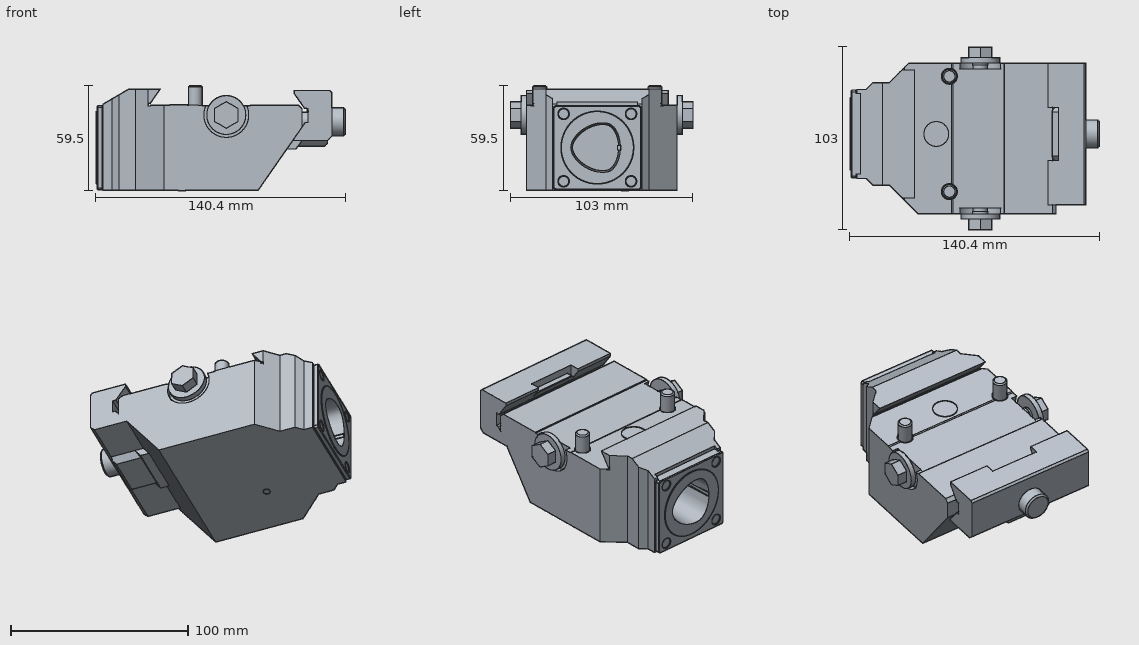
import cadquery as cq
import math


body_front = 3.8
body_back = 116.0
side_left = 40.0
side_right = -45.0
side_middle = (side_left + side_right) / 2
deck_height = 48.1
nose_height = 48.6
lip_height = 57.1
lip_start = 18.3
lip_tip = 36.1
lip_root = 30.5
lip_root_height = 49.0
lip_half_width = 36.2
relief_front = 29.4
relief_depth = 0.5
back_chamfer = 2.0
incline_top = 35.6
incline_foot = 91.3
incline_run = (body_back - incline_foot) / incline_top

nose_half_width = 25.2
shoulder_half_width = 29.0
nose_step_start = 9.0
shoulder_start = nose_step_start + shoulder_half_width - nose_half_width
flare_start = 22.1

deck_recess_front = 57.2
deck_recess_back = 87.1
deck_recess_depth = 0.35
deck_recess_slope_front = 0.8
deck_recess_slope_back = 0.5
button_x = 48.5
button_diameter = 14.0
button_height = 0.4
pin_x = 55.9
pin_y = 32.5
pin_diameter = 8.0
pin_top = 59.04
pin_chamfer = 0.8
pin_mouth_diameter = 9.0
foot_x = 48.3
foot_y = -15.6
foot_diameter = 4.0
foot_height = 0.5

plate_front = 0.5
plate_back = 3.2
plate_width = 49.6
plate_bottom = 0.25
plate_top = 47.8
plate_height = plate_top - plate_bottom
plate_chamfer = 0.5
plate_corner_chamfer = 1.1
neck_inset = 0.8
bore_z = 24.1
ring_diameter = 41.2
ring_chamfer = 0.3
screw_spacing = 38.0
screw_diameter = 5.7
screw_mouth_diameter = 6.5
screw_depth = 0.5
groove_half_width = 22.7
groove_back = 5.9

bore_radius = 14.0
bore_lobe = 1.0
bore_depth = 30.0
bore_shrink = 1.0
bore_points = 48
keyway_width = 2.5
keyway_depth = 0.4
keyway_height = 2.0
keyway_sink = 1.0

bolt_x = 73.3
bolt_z = 42.5
bolt_recess_diameter = 25.3
bolt_recess_depth = 3.4
bolt_shaft_diameter = 8.0
bolt_collar_diameter = 8.5
bolt_collar_length = 1.2
washer_diameter = 22.0
washer_thickness = 3.0
hex_across_flats = 13.0
hex_height = 6.0

jaw_tip = 111.6
jaw_back = 132.9
jaw_top = 56.3
jaw_bottom = 28.2
jaw_half_width = 40.0
jaw_lip = 1.8
jaw_root = 117.4
jaw_root_height = 46.2
jaw_relief_back = 119.5
jaw_relief_bottom = 38.1
relief_rib_front = 118.8
relief_rib_bottom = 44.8
jaw_top_chamfer = 1.2
jaw_bottom_chamfer = 2.4
guide_width = 30.0
pocket_back = 117.3
pocket_floor = 52.0
pocket_step = 113.8
pocket_slope = 2.7
keel_front = 113.0
keel_back = 130.5
keel_bottom = 24.8
keel_end_chamfer = 1.8
tongue_bottom = 23.3
tongue_reach = 5.2

clamp_z = 38.6
clamp_shaft_diameter = 11.0
clamp_head_diameter = 16.0
clamp_head_end = 140.41
clamp_head_chamfer = 1.0


def box(x0, x1, y0, y1, z0, z1):
    """Block between the given limits."""
    return cq.Workplane("XY").box(x1 - x0, y1 - y0, z1 - z0, centered=False).translate((x0, y0, z0))


def side_prism(points, y_low, y_high):
    """Extrude an outline of (x, z) points between two Y limits."""
    return cq.Workplane("XZ", origin=(0, y_high, 0)).polyline(points).close().extrude(y_high - y_low)


def end_prism(points, x_low, x_high):
    """Extrude an outline of (y, z) points between two X limits."""
    return cq.Workplane("YZ", origin=(x_low, 0, 0)).polyline(points).close().extrude(x_high - x_low)


def post(diameter, x, y, z_low, z_high):
    """Vertical cylinder."""
    return cq.Workplane("XY", origin=(x, y, z_low)).circle(diameter / 2).extrude(z_high - z_low)


def rod(diameter, x_low, x_high, y, z):
    """Cylinder along X."""
    return cq.Workplane("YZ", origin=(x_low, y, z)).circle(diameter / 2).extrude(x_high - x_low)


def incline_x(z):
    """X of the sloping underside at height z."""
    return incline_foot + incline_run * z


def make_body():
    profile = side_prism(
        [
            (body_front, 0),
            (body_front, nose_height),
            (lip_start, lip_height),
            (lip_tip, lip_height),
            (lip_root, lip_root_height),
            (relief_front, lip_root_height),
            (relief_front, deck_height - relief_depth),
            (lip_root, deck_height - relief_depth),
            (lip_root, deck_height),
            (body_back - back_chamfer, deck_height),
            (body_back, deck_height - back_chamfer),
            (body_back, incline_top),
            (incline_foot, 0),
        ],
        side_right,
        side_left,
    )
    outline = [
        (body_front, -nose_half_width),
        (nose_step_start, -nose_half_width),
        (shoulder_start, -shoulder_half_width),
        (flare_start, -shoulder_half_width),
        (flare_start - shoulder_half_width - side_right, side_right),
        (body_back, side_right),
        (body_back, side_left),
        (flare_start + side_left - shoulder_half_width, side_left),
        (flare_start, shoulder_half_width),
        (shoulder_start, shoulder_half_width),
        (nose_step_start, nose_half_width),
        (body_front, nose_half_width),
    ]
    body = profile.intersect(cq.Workplane("XY").polyline(outline).close().extrude(lip_height))
    lip_floor = deck_height - relief_depth
    body = body.cut(box(body_front, lip_root, lip_half_width, side_left, lip_floor, lip_height))
    body = body.cut(box(body_front, lip_root, side_right, -lip_half_width, lip_floor, lip_height))
    body = body.cut(box(lip_root, lip_tip, lip_half_width, side_left, deck_height, lip_height))
    body = body.cut(box(lip_root, lip_tip, side_right, -lip_half_width, deck_height, lip_height))
    body = body.cut(
        box(body_front, groove_back, -groove_half_width, groove_half_width, plate_top, lip_height)
    )
    deck_recess = side_prism(
        [
            (deck_recess_front, deck_height),
            (deck_recess_front + deck_recess_slope_front, deck_height - deck_recess_depth),
            (deck_recess_back - deck_recess_slope_back, deck_height - deck_recess_depth),
            (deck_recess_back, deck_height),
        ],
        side_right,
        side_left,
    )
    return body.cut(deck_recess)


def add_deck_details(body):
    body = body.union(
        post(button_diameter, button_x, 0, deck_height - button_height, deck_height + button_height)
    )
    body = body.union(post(foot_diameter, foot_x, foot_y, -foot_height, foot_height))
    mouth_depth = (pin_mouth_diameter - pin_diameter) / 2 + deck_recess_depth
    for y in (-pin_y, pin_y):
        body = body.cut(post(pin_mouth_diameter, pin_x, y, deck_height - mouth_depth, deck_height))
        pin = post(pin_diameter, pin_x, y, deck_height / 2, pin_top)
        body = body.union(pin.faces(">Z").chamfer(pin_chamfer))
    return body


def add_plate(body):
    plate = box(
        plate_front, plate_back, -plate_width / 2, plate_width / 2, plate_bottom, plate_top
    )
    plate = plate.edges("|X").chamfer(plate_corner_chamfer).faces("<X").chamfer(plate_chamfer)
    neck = (
        cq.Workplane("YZ", origin=(plate_back, 0, plate_bottom + plate_height / 2))
        .rect(plate_width - 2 * neck_inset, plate_height - 2 * neck_inset)
        .extrude(body_front - plate_back)
    )
    ring = rod(ring_diameter, 0, plate_back, 0, bore_z).faces("<X").chamfer(ring_chamfer)
    bridge = box(
        plate_back, body_front, -groove_half_width, groove_half_width, bore_z, plate_top
    )
    body = body.union(neck).union(bridge).union(plate).union(ring)
    mouth_depth = (screw_mouth_diameter - screw_diameter) / 2
    hole = rod(screw_mouth_diameter, plate_front, plate_front + screw_depth, 0, 0)
    hole = hole.faces(">X").chamfer(mouth_depth)
    for y in (-screw_spacing / 2, screw_spacing / 2):
        for z in (bore_z - screw_spacing / 2, bore_z + screw_spacing / 2):
            body = body.cut(hole.translate((0, y, z)))
    return body


def lobed_outline(radius):
    """Points of the three-lobed outline, one lobe pointing to +Y."""
    points = []
    for i in range(bore_points):
        angle = 2 * math.pi * i / bore_points
        reach = radius + bore_lobe * math.cos(3 * angle)
        turn = -3 * bore_lobe * math.sin(3 * angle)
        y = reach * math.cos(angle) - turn * math.sin(angle)
        z = reach * math.sin(angle) + turn * math.cos(angle)
        points.append((y, z))
    return points


def cut_bore(body):
    bore = (
        cq.Workplane("YZ", origin=(0, 0, bore_z))
        .spline(lobed_outline(bore_radius), periodic=True)
        .close()
        .workplane(offset=bore_depth)
        .spline(lobed_outline(bore_radius - bore_shrink), periodic=True)
        .close()
        .loft(combine=True)
    )
    flat = bore_radius - bore_lobe + keyway_depth
    keyway = box(
        plate_front,
        bore_depth + keyway_sink,
        -flat,
        keyway_height - flat,
        bore_z - keyway_width / 2,
        bore_z + keyway_width / 2,
    )
    return body.cut(bore).cut(keyway)


def side_disc(diameter, start, length):
    """Disc on the bolt axis of the -Y side; start is measured outward from that side."""
    plane = cq.Workplane("XZ", origin=(bolt_x, side_right - start, bolt_z))
    return plane.circle(diameter / 2).extrude(length)


def add_side_bolts(body):
    recess = side_disc(bolt_recess_diameter, -bolt_recess_depth, bolt_recess_depth)
    hexagon = (
        cq.Workplane("XZ", origin=(bolt_x, side_right - washer_thickness, bolt_z))
        .transformed(rotate=(0, 0, 90))
        .polygon(6, hex_across_flats / math.cos(math.pi / 6))
        .extrude(hex_height)
    )
    bolt = (
        side_disc(bolt_shaft_diameter, -2 * bolt_recess_depth, 2 * bolt_recess_depth)
        .union(side_disc(bolt_collar_diameter, -bolt_collar_length, bolt_collar_length))
        .union(side_disc(washer_diameter, 0, washer_thickness))
        .union(hexagon)
    )
    middle = (0, side_middle, 0)
    body = body.cut(recess).cut(recess.mirror("XZ", middle))
    return body.union(bolt).union(bolt.mirror("XZ", middle))


def make_jaw():
    jaw = side_prism(
        [
            (jaw_tip, jaw_top),
            (jaw_tip, jaw_top - jaw_lip),
            (jaw_root, jaw_root_height),
            (jaw_relief_back, jaw_root_height),
            (jaw_relief_back, jaw_relief_bottom),
            (incline_x(jaw_relief_bottom), jaw_relief_bottom),
            (incline_x(jaw_bottom), jaw_bottom),
            (jaw_back - jaw_bottom_chamfer, jaw_bottom),
            (jaw_back, jaw_bottom + jaw_bottom_chamfer),
            (jaw_back, jaw_top - jaw_top_chamfer),
            (jaw_back - jaw_top_chamfer, jaw_top),
        ],
        -jaw_half_width,
        jaw_half_width,
    )
    half = guide_width / 2
    pocket = end_prism(
        [
            (-half, jaw_top),
            (-half, pocket_floor - pocket_slope),
            (-half + pocket_slope, pocket_floor),
            (half - pocket_slope, pocket_floor),
            (half, pocket_floor - pocket_slope),
            (half, jaw_top),
        ],
        jaw_tip,
        pocket_back,
    )
    front_step = box(jaw_tip, pocket_step, -half, half, jaw_root_height, jaw_top)
    relief_rib = box(
        relief_rib_front, jaw_relief_back, -half, half, relief_rib_bottom, jaw_root_height
    )
    return jaw.cut(pocket).cut(front_step).union(relief_rib)


def make_keel():
    """Bevelled rib under the middle of the jaw."""
    half = guide_width / 2
    bevel = jaw_bottom - keel_bottom
    keel = end_prism(
        [
            (-half, incline_top),
            (-half, jaw_bottom),
            (-half + bevel, keel_bottom),
            (half - bevel, keel_bottom),
            (half, jaw_bottom),
            (half, incline_top),
        ],
        keel_front,
        keel_back,
    )
    corner = side_prism(
        [
            (keel_back, keel_bottom),
            (keel_back - keel_end_chamfer, keel_bottom),
            (keel_back, keel_bottom + keel_end_chamfer),
        ],
        -half,
        half,
    )
    return keel.cut(corner)


def make_tongue():
    """Guide tongue standing out from the inclined underside below the jaw."""
    return side_prism(
        [
            (incline_x(tongue_bottom), tongue_bottom),
            (incline_x(tongue_bottom) + tongue_reach, tongue_bottom),
            (incline_x(jaw_bottom) + tongue_reach, jaw_bottom),
            (incline_x(jaw_bottom), jaw_bottom),
        ],
        -guide_width / 2,
        guide_width / 2,
    )


def make_clamp_screw():
    shaft = rod(clamp_shaft_diameter, body_back - 2 * back_chamfer, jaw_back, 0, clamp_z)
    head = rod(clamp_head_diameter, jaw_back, clamp_head_end, 0, clamp_z)
    return shaft.union(head.faces(">X").chamfer(clamp_head_chamfer))


result = make_body()
result = add_plate(result)
result = cut_bore(result)
result = add_deck_details(result)
result = add_side_bolts(result)
for piece in (make_tongue(), make_jaw(), make_keel(), make_clamp_screw()):
    result = result.union(piece)